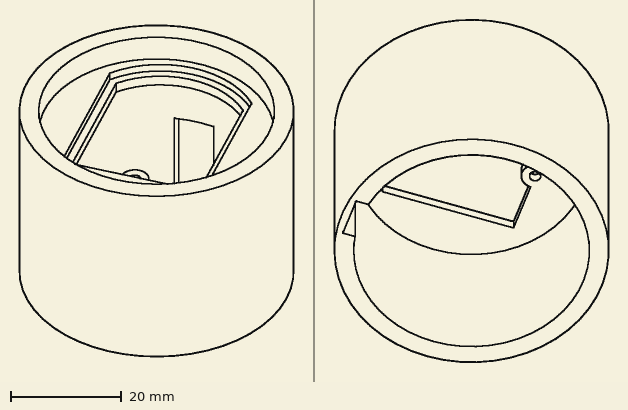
import cadquery as cq
import math

outer_diameter = 49.5
height = 37.0
bore_diameter = 42.5

recess_depth = 5.0
plate_thickness = 3.5
plate_top = height - recess_depth
plate_bottom = plate_top - plate_thickness

window_half_width = 13.5
window_bottom_y = -13.5
arch_center_y = 2.0
arch_radius = 17.75
ledge_width = 1.4
arch_ledge_width = 1.5
ledge_depth = 1.5
ledge_top = plate_top - ledge_depth
ledge_thickness = ledge_top - plate_bottom

boss_radius = 2.5
screw_hole_diameter = 2.0
boss_y = window_bottom_y + ledge_width

pocket_width = 7.5
pocket_top = 18.5
pocket_back_y = 23.25


def arched_prism(inset, arch_inset, bottom_z, depth):
    """Window-shaped prism, its straight edges moved inward by inset and its arch by arch_inset."""
    half_width = window_half_width - inset
    bottom_y = window_bottom_y + inset
    radius = arch_radius - arch_inset
    shoulder_y = arch_center_y + math.sqrt(radius**2 - half_width**2)
    return (
        cq.Workplane("XY", origin=(0, 0, bottom_z))
        .moveTo(-half_width, bottom_y)
        .lineTo(half_width, bottom_y)
        .lineTo(half_width, shoulder_y)
        .threePointArc((0, arch_center_y + radius), (-half_width, shoulder_y))
        .close()
        .extrude(depth)
    )


def cylinder(radius, bottom_z, depth, center_y=0.0):
    """Vertical cylinder centered on X = 0."""
    return cq.Workplane("XY", origin=(0, center_y, bottom_z)).circle(radius).extrude(depth)


def make_housing():
    """Tube with the solid plate left standing across its bore."""
    bore_radius = bore_diameter / 2
    body = cylinder(outer_diameter / 2, 0, height)
    body = body.cut(cylinder(bore_radius, plate_top, recess_depth))
    return body.cut(cylinder(bore_radius, 0, plate_bottom))


def cut_window(body):
    """Full-size window down to the ledge, smaller window through it."""
    body = body.cut(arched_prism(0, 0, ledge_top, ledge_depth))
    return body.cut(arched_prism(ledge_width, arch_ledge_width, plate_bottom, ledge_thickness))


def add_screw_boss(body):
    """Round boss flush with the ledge, with a through hole."""
    boss = cylinder(boss_radius, plate_bottom, ledge_thickness, boss_y)
    hole = cylinder(screw_hole_diameter / 2, plate_bottom, ledge_thickness, boss_y)
    return body.union(boss).cut(hole)


def cut_wall_pocket(body):
    """Flat-backed pocket cut outward from the bore into the +Y wall."""
    pocket = cq.Workplane("XY").box(
        pocket_width, pocket_back_y, pocket_top, centered=(True, False, False)
    )
    return body.cut(pocket)


result = make_housing()
result = cut_window(result)
result = add_screw_boss(result)
result = cut_wall_pocket(result)